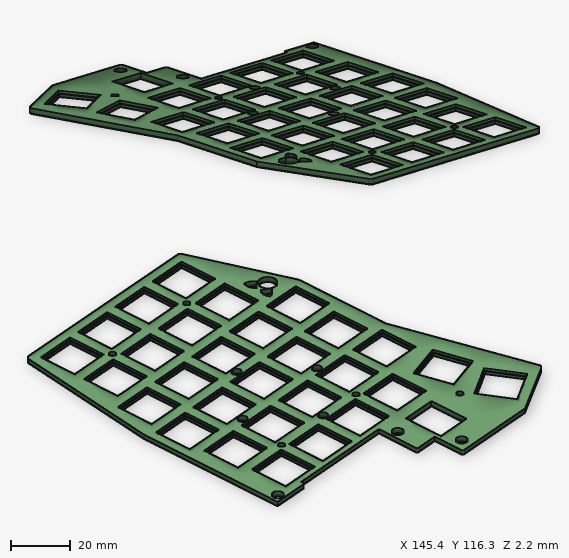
import cadquery as cq

thickness = 2.2
corner_radius = 1.5
small_corner_radius = 0.7
bottom_chamfer = 0.36

plate_width = 145.4
plate_top = 116.3
lower_edge = 15.4
neck_x = 29.4
tab_right_y = 62.7
big_corners = [(11.6, -0.3), (plate_width, 30.1), (plate_width, 108.6)]
small_corners = [(27.9, 102.4), (12.4, 62.8), (0, 53.8)]
outline = [
    big_corners[0],
    (67.0, lower_edge),
    (105.3, lower_edge),
    big_corners[1],
    big_corners[2],
    (87.0, plate_top),
    (small_corners[0][0], plate_top),
    small_corners[0],
    (neck_x, small_corners[0][1]),
    (neck_x, tab_right_y),
    small_corners[1],
    (small_corners[1][0], small_corners[2][1]),
    small_corners[2],
    (0, 22.0),
]

key_pitch = 19.0
key_opening = 14.0
key_recess = 14.8
recess_depth = 1.0
first_column_x = 39.1
columns = [(100.3, 4), (102.7, 5), (105.3, 5), (102.7, 5), (97.9, 4), (97.9, 4)]
thumb_keys = [(36.2, 21.8, 15), (15.4, 16.5, 28)]

window_center = (18.8, 45.7)
window_size = (15.4, 13.1)

corner_hole_diameter = 4.0
corner_holes = [(30.5, 113.1), (23.7, 59.6), (4.4, 49.3)]

ring_hole_diameter = 3.5
ring_center = (67.8, 68.9)

spacer_hole_diameter = 2.5
spacer_spacing = 2 * key_pitch
lower_spacers = [(48.1, 52.6), (124.9, 50.2)]
thumb_spacer = (22.1, 29.7)

head_center = (112.1, 23.5)
head_diameter = 6.5
ear_inner = (0.9, 4.7)
ear_top = (3.5, 6.0)
ear_outer = (5.7, 5.4)
ear_side = (4.8, 3.2)
ear_bottom = (3.0, 1.6)
ear_inner_side = (2.2, 3.2)


def round_corners(plate, corners, radius):
    """Fillet the upright edges at the given outline corners."""
    for x, y in corners:
        corner = cq.selectors.NearestToPointSelector((x, y, thickness / 2))
        plate = plate.edges("|Z").edges(corner).fillet(radius)
    return plate


def key_cutter(x, y, turn=0):
    """Stepped square cutter centred on a key."""
    opening = cq.Workplane("XY").rect(key_opening, key_opening).extrude(thickness)
    recess = (
        cq.Workplane("XY")
        .workplane(offset=thickness - recess_depth)
        .rect(key_recess, key_recess)
        .extrude(recess_depth)
    )
    return opening.union(recess).rotate((0, 0, 0), (0, 0, 1), turn).translate((x, y, 0))


def ear_cutter(side):
    """Ear on the right (side = 1) or left (side = -1) of the head."""

    def place(point):
        return (head_center[0] + side * point[0], head_center[1] + point[1])

    return (
        cq.Workplane("XY")
        .moveTo(*place(ear_inner))
        .threePointArc(place(ear_top), place(ear_outer))
        .threePointArc(place(ear_side), place(ear_bottom))
        .threePointArc(place(ear_inner_side), place(ear_inner))
        .close()
        .extrude(thickness)
    )


def hole_cutter(centers, diameter):
    return cq.Workplane("XY").pushPoints(centers).circle(diameter / 2).extrude(thickness)


plate = cq.Workplane("XY").polyline(outline).close().extrude(thickness)
plate = round_corners(plate, big_corners, corner_radius)
plate = round_corners(plate, small_corners, small_corner_radius)
plate = plate.faces("<Z").chamfer(bottom_chamfer)

for column, (top_y, count) in enumerate(columns):
    for row in range(count):
        plate = plate.cut(key_cutter(first_column_x + column * key_pitch, top_y - row * key_pitch))
for x, y, turn in thumb_keys:
    plate = plate.cut(key_cutter(x, y, turn))

plate = plate.cut(cq.Workplane("XY").center(*window_center).rect(*window_size).extrude(thickness))

ring_x, ring_y = ring_center
ring_holes = [
    (ring_x + key_pitch, ring_y),
    (ring_x - key_pitch, ring_y),
    (ring_x, ring_y + key_pitch),
    (ring_x, ring_y - key_pitch),
]
spacer_holes = [thumb_spacer]
for x, y in lower_spacers:
    spacer_holes += [(x, y), (x, y + spacer_spacing)]
plate = plate.cut(hole_cutter(corner_holes, corner_hole_diameter))
plate = plate.cut(hole_cutter(ring_holes, ring_hole_diameter))
plate = plate.cut(hole_cutter(spacer_holes, spacer_hole_diameter))

plate = plate.cut(hole_cutter([head_center], head_diameter))
for side in (1, -1):
    plate = plate.cut(ear_cutter(side))

result = plate